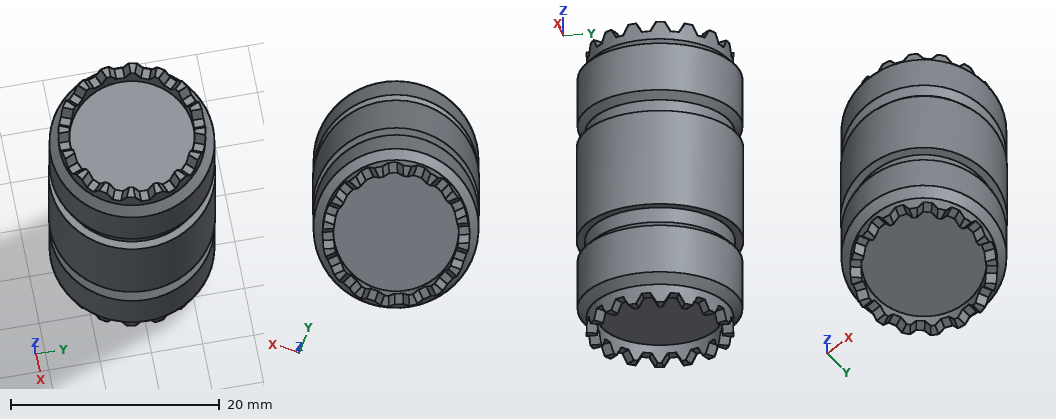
import cadquery as cq
import math

length = 30.0
half_length = length / 2
band_diameter = 16.0
band_length = 10.0
groove_radius = 7.2
shoulder_radius = 7.92
shoulder_inner_z = 6.55
shoulder_outer_z = 13.15
outer_chamfer_height = 0.9

crown_radius = 7.05
recess_radius = 6.0
tooth_count = 16
tooth_height = 1.0
gap_floor_width = 0.8
gap_flank_angle = 30.0

inner_chamfer_height = shoulder_radius - groove_radius
recess_depth = half_length - shoulder_outer_z


def make_turned_body():
    """Revolve the half outline, mirrored about the middle plane."""
    upper_outline = [
        (band_diameter / 2, band_length / 2),
        (groove_radius, band_length / 2),
        (groove_radius, shoulder_inner_z),
        (shoulder_radius, shoulder_inner_z + inner_chamfer_height),
        (shoulder_radius, shoulder_outer_z - outer_chamfer_height),
        (crown_radius, shoulder_outer_z),
        (crown_radius, half_length),
        (0, half_length),
    ]
    lower_outline = [(radius, -z) for radius, z in reversed(upper_outline)]
    return (
        cq.Workplane("XZ")
        .polyline(upper_outline + lower_outline)
        .close()
        .revolve(360, (0, 0), (0, 1))
    )


def make_tooth_gap():
    """Radial trapezoidal groove that opens towards the top end."""
    floor_half_width = gap_floor_width / 2
    mouth_half_width = floor_half_width + tooth_height * math.tan(math.radians(gap_flank_angle))
    floor_z = half_length - tooth_height
    return (
        cq.Workplane("XZ")
        .polyline([
            (-floor_half_width, floor_z),
            (floor_half_width, floor_z),
            (mouth_half_width, half_length),
            (-mouth_half_width, half_length),
        ])
        .close()
        .extrude(band_diameter / 2)
    )


def make_top_end_cutter():
    """Round recess and ring of tooth gaps for the top end."""
    cutter = (
        cq.Workplane("XY")
        .workplane(offset=half_length - recess_depth)
        .circle(recess_radius)
        .extrude(recess_depth)
    )
    gap = make_tooth_gap()
    for index in range(tooth_count):
        angle = index * 360 / tooth_count
        cutter = cutter.union(gap.rotate((0, 0, 0), (0, 0, 1), angle))
    return cutter


top_end_cutter = make_top_end_cutter()
bottom_end_cutter = top_end_cutter.mirror("XY")

result = make_turned_body().cut(top_end_cutter).cut(bottom_end_cutter)